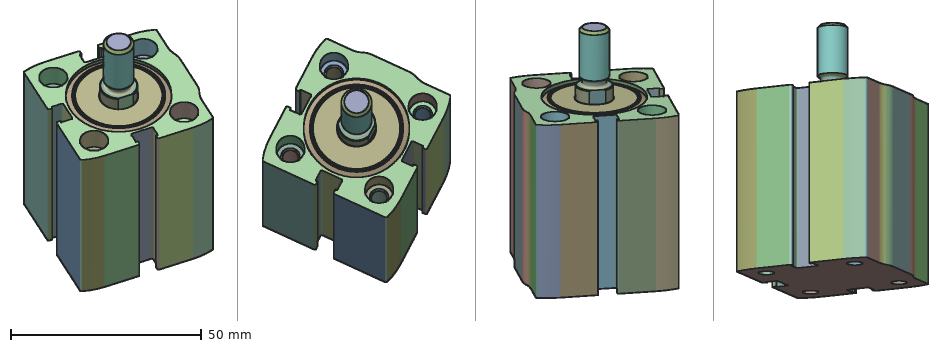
import cadquery as cq
import math

housing_height = 48.5
half_width = 19.25
bottom_y = -19.25
top_y = 19.1
pad_top_y = 20.25
flank_half_length = 12.8
flank_curve_radius = 19.25
corner_radius = 0.5
pad_half_width = 5.3
pad_foot_half_width = 10.75

slot_depth = 4.55
slot_mouth_width = 5.2
slot_inner_width = 6.3
slot_lip_thickness = 1.3
slot_edge_radius = 0.4

hole_pitch = 26.0
hole_diameter = 4.15
counterbore_diameter = 7.5
counterbore_depth = 6.0
hole_countersink_diameter = 5.0

bore_diameter = 27.8
cap_cone_diameter = 24.6
cap_depth = 0.3
cap_cone_height = 0.8
ring_groove_outer_radius = 12.1
ring_groove_inner_radius = 11.4
ring_groove_depth = 0.2
rod_hole_chamfer = 0.2

total_height = 68.0
rod_diameter = 10.0
rod_insertion = 4.1
collar_height = 3.5
collar_chamfer = 0.2
flat_width = 9.0
flat_insertion = 1.35
thread_diameter = 8.0
neck_diameter = 6.4
neck_fillet = 0.7
neck_length = 1.35
run_out_angle = 40

rod_radius = rod_diameter / 2
thread_radius = thread_diameter / 2
neck_radius = neck_diameter / 2
thread_chamfer = thread_radius - neck_radius


def profile_prism():
    """Solid extrusion of the housing outline, before the slots are cut."""
    top_rise = top_y - flank_half_length
    bottom_rise = -bottom_y - flank_half_length

    def flank_x(rise):
        """Half width where the flank has curved on by this rise along Y."""
        return half_width - flank_curve_radius + math.sqrt(flank_curve_radius**2 - rise**2)

    top_x = flank_x(top_rise)
    bottom_x = flank_x(bottom_rise)
    pad_middle_x = (pad_half_width + pad_foot_half_width) / 2
    pad_middle_y = (top_y + pad_top_y) / 2
    prism = (
        cq.Workplane("XY")
        .moveTo(-bottom_x, bottom_y)
        .lineTo(bottom_x, bottom_y)
        .radiusArc((half_width, -flank_half_length), -flank_curve_radius)
        .lineTo(half_width, flank_half_length)
        .tangentArcPoint((top_x, top_y), relative=False)
        .lineTo(pad_foot_half_width, top_y)
        .tangentArcPoint((pad_middle_x, pad_middle_y), relative=False)
        .tangentArcPoint((pad_half_width, pad_top_y), relative=False)
        .lineTo(-pad_half_width, pad_top_y)
        .tangentArcPoint((-pad_middle_x, pad_middle_y), relative=False)
        .tangentArcPoint((-pad_foot_half_width, top_y), relative=False)
        .lineTo(-top_x, top_y)
        .radiusArc((-half_width, flank_half_length), -flank_curve_radius)
        .lineTo(-half_width, -flank_half_length)
        .tangentArcPoint((-bottom_x, bottom_y), relative=False)
        .close()
        .extrude(housing_height)
    )
    for side in (-1, 1):
        for x, y in ((top_x, top_y), (bottom_x, bottom_y)):
            corner = cq.selectors.NearestToPointSelector((side * x, y, housing_height / 2))
            prism = prism.edges(corner).fillet(corner_radius)
    return prism


def t_slot(face_distance, angle):
    """Cutter for a T-slot in the -Y face, turned about Z by the angle."""
    mouth = slot_mouth_width / 2
    inner = slot_inner_width / 2
    lip_y = -face_distance + slot_lip_thickness
    floor_y = -face_distance + slot_depth
    edge = slot_edge_radius
    cutter = (
        cq.Workplane("XY")
        .moveTo(-mouth - edge, -face_distance)
        .lineTo(mouth + edge, -face_distance)
        .radiusArc((mouth, -face_distance + edge), edge)
        .lineTo(mouth, lip_y)
        .lineTo(inner, lip_y)
        .lineTo(inner, floor_y - edge)
        .radiusArc((inner - edge, floor_y), -edge)
        .lineTo(edge - inner, floor_y)
        .radiusArc((-inner, floor_y - edge), -edge)
        .lineTo(-inner, lip_y)
        .lineTo(-mouth, lip_y)
        .lineTo(-mouth, -face_distance + edge)
        .radiusArc((-mouth - edge, -face_distance), edge)
        .close()
        .extrude(housing_height)
    )
    return cutter.rotate((0, 0, 0), (0, 0, 1), angle)


def mounting_hole(x, y):
    """Cutter for one through hole with its counterbore and small countersink."""
    floor_z = housing_height - counterbore_depth
    hole_radius = hole_diameter / 2
    countersink_radius = hole_countersink_diameter / 2
    return (
        cq.Workplane("XZ")
        .moveTo(0, 0)
        .lineTo(hole_radius, 0)
        .lineTo(hole_radius, floor_z - (countersink_radius - hole_radius))
        .lineTo(countersink_radius, floor_z)
        .lineTo(counterbore_diameter / 2, floor_z)
        .lineTo(counterbore_diameter / 2, housing_height)
        .lineTo(0, housing_height)
        .close()
        .revolve(360, (0, 0, 0), (0, 1, 0))
        .translate((x, y, 0))
    )


def cap_recess():
    """Cutter that leaves the bearing cap face, its ring groove and its sloping rim."""
    face_z = housing_height - cap_depth
    groove_z = face_z - ring_groove_depth
    return (
        cq.Workplane("XZ")
        .moveTo(0, housing_height)
        .lineTo(0, face_z)
        .lineTo(ring_groove_inner_radius, face_z)
        .lineTo(ring_groove_inner_radius + ring_groove_depth, groove_z)
        .lineTo(ring_groove_outer_radius - ring_groove_depth, groove_z)
        .lineTo(ring_groove_outer_radius, face_z)
        .lineTo(cap_cone_diameter / 2, face_z)
        .lineTo(bore_diameter / 2, face_z - cap_cone_height)
        .lineTo(bore_diameter / 2, housing_height)
        .close()
        .revolve(360, (0, 0, 0), (0, 1, 0))
    )


def rod_hole():
    """Cutter for the blind hole that holds the rod, with its edge chamfer in the cap face."""
    bottom_z = housing_height - rod_insertion
    face_z = housing_height - cap_depth
    return (
        cq.Workplane("XZ")
        .moveTo(0, bottom_z)
        .lineTo(rod_radius, bottom_z)
        .lineTo(rod_radius, face_z - rod_hole_chamfer)
        .lineTo(rod_radius + rod_hole_chamfer, face_z)
        .lineTo(0, face_z)
        .close()
        .revolve(360, (0, 0, 0), (0, 1, 0))
    )


def make_housing():
    body = profile_prism()
    for face_distance, angle in ((-bottom_y, 0), (half_width, 90), (half_width, -90)):
        body = body.cut(t_slot(face_distance, angle))
    for x in (-hole_pitch / 2, hole_pitch / 2):
        for y in (-hole_pitch / 2, hole_pitch / 2):
            body = body.cut(mounting_hole(x, y))
    body = body.cut(cap_recess())
    return body.cut(rod_hole())


def make_rod():
    bottom_z = housing_height - rod_insertion
    collar_z = housing_height + collar_height
    slope = math.radians(run_out_angle)
    neck_top_z = collar_z + neck_length
    cone_start_radius = neck_radius + neck_fillet * (1 - math.sin(slope))
    cone_start_z = neck_top_z + neck_fillet * math.cos(slope)
    thread_z = cone_start_z + (thread_radius - cone_start_radius) * math.tan(slope)
    rod = (
        cq.Workplane("XZ")
        .moveTo(0, bottom_z)
        .lineTo(rod_radius, bottom_z)
        .lineTo(rod_radius, collar_z - collar_chamfer)
        .lineTo(rod_radius - collar_chamfer, collar_z)
        .lineTo(neck_radius + neck_fillet, collar_z)
        .radiusArc((neck_radius, collar_z + neck_fillet), neck_fillet)
        .lineTo(neck_radius, neck_top_z)
        .tangentArcPoint((cone_start_radius, cone_start_z), relative=False)
        .lineTo(thread_radius, thread_z)
        .lineTo(thread_radius, total_height - thread_chamfer)
        .lineTo(neck_radius, total_height)
        .lineTo(0, total_height)
        .close()
        .revolve(360, (0, 0, 0), (0, 1, 0))
    )
    flat_bottom_z = housing_height - flat_insertion
    flat_depth = rod_radius - flat_width / 2
    for side in (-1, 1):
        flat_cutter = (
            cq.Workplane("XZ")
            .moveTo(side * flat_width / 2, flat_bottom_z)
            .lineTo(side * flat_width / 2, collar_z)
            .lineTo(side * rod_radius, collar_z)
            .lineTo(side * rod_radius, flat_bottom_z - flat_depth)
            .close()
            .extrude(rod_radius, both=True)
        )
        rod = rod.cut(flat_cutter)
    return rod


housing = make_housing()
piston_rod = make_rod()
result = cq.Compound.makeCompound([housing.val(), piston_rod.val()])